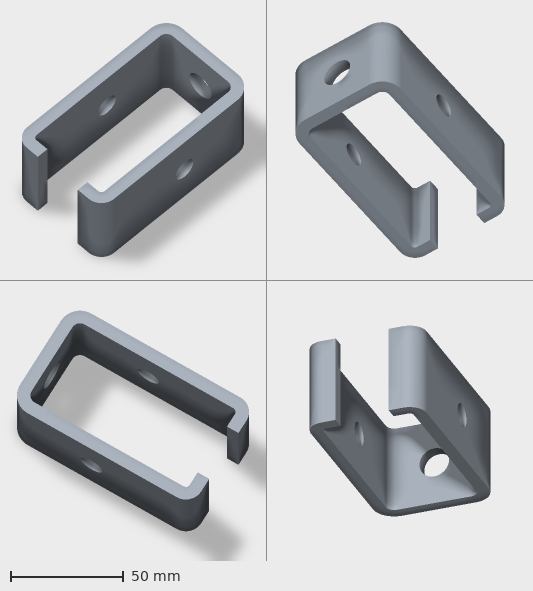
import cadquery as cq

width = 55.0
length = 95.0
height = 41.0
wall = 6.0

back_inner_radius = 4.0
front_inner_radius = 2.0

mouth_width = 25.3

back_hole_diameter = 14.1
side_hole_diameter = 11.0
side_hole_from_back = 43.0


def rounded_block(block_width, block_length, back_radius, front_radius):
    """Centred block with separate radii on its back and front vertical edges."""
    block = cq.Workplane("XY").box(block_width, block_length, height)
    block = block.edges("|Z and >Y").fillet(back_radius)
    return block.edges("|Z and <Y").fillet(front_radius)


outside = rounded_block(width, length, back_inner_radius + wall, front_inner_radius + wall)
inside = rounded_block(width - 2 * wall, length - 2 * wall, back_inner_radius, front_inner_radius)
mouth = cq.Workplane("XY").box(mouth_width, length / 2, height).translate((0, -length / 2, 0))
channel = outside.cut(inside).cut(mouth)

back_hole = (
    cq.Workplane("XZ")
    .circle(back_hole_diameter / 2)
    .extrude(-length)
)

side_holes = (
    cq.Workplane("YZ")
    .center(length / 2 - side_hole_from_back, 0)
    .circle(side_hole_diameter / 2)
    .extrude(width, both=True)
)

result = channel.cut(back_hole).cut(side_holes)